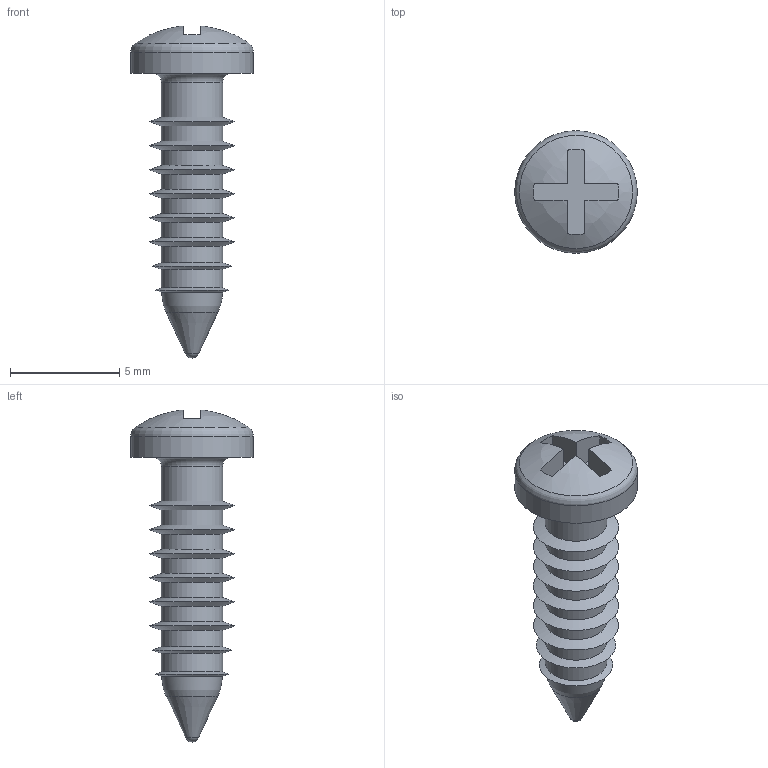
import cadquery as cq
import math

head_radius = 2.8
head_height = 2.2
dome_radius = 4.5
rim_fillet = 0.5

shank_radius = 1.4
shank_length = 13.0
neck_fillet = 0.4
point_half_angle = math.radians(25)
point_blend_radius = 2.3
tip_radius = 0.33

thread_count = 8
thread_pitch = 1.1
first_thread_depth = 2 * thread_pitch
crest_radius = 1.95
flank_angle = math.radians(20)
tapered_thread_count = 2
crest_taper_step = 0.135

recess_radius = 1.95
recess_width = 0.78
recess_depth = 1.5


def polar(center, radius, angle):
    """Point (r, z) on a circle, with the angle measured from the +r direction."""
    return (
        center[0] + radius * math.cos(angle),
        center[1] + radius * math.sin(angle),
    )


def screw_blank():
    """Head, shank and point revolved from one half profile."""
    dome_center = (0, head_height - dome_radius)
    rim_r = head_radius - rim_fillet
    rim_angle = math.acos(rim_r / (dome_radius - rim_fillet))
    rim_center = polar(dome_center, dome_radius - rim_fillet, rim_angle)
    dome_edge = polar(dome_center, dome_radius, rim_angle)
    dome_middle = polar(dome_center, dome_radius, (rim_angle + math.pi / 2) / 2)
    rim_middle = polar(rim_center, rim_fillet, rim_angle / 2)

    neck_center = (shank_radius + neck_fillet, -neck_fillet)
    neck_middle = polar(neck_center, neck_fillet, math.radians(135))

    tip_center = (0, tip_radius - shank_length)
    cone_end = polar(tip_center, tip_radius, -point_half_angle)
    tip_middle = polar(tip_center, tip_radius, -(point_half_angle + math.pi / 2) / 2)
    blend_r = shank_radius - point_blend_radius
    cone_start_r = blend_r + point_blend_radius * math.cos(point_half_angle)
    cone_start_z = cone_end[1] + (cone_start_r - cone_end[0]) / math.tan(point_half_angle)
    blend_center = (blend_r, cone_start_z + point_blend_radius * math.sin(point_half_angle))
    blend_middle = polar(blend_center, point_blend_radius, -point_half_angle / 2)

    profile = (
        cq.Workplane("XZ")
        .moveTo(0, head_height)
        .threePointArc(dome_middle, dome_edge)
        .threePointArc(rim_middle, (head_radius, rim_center[1]))
        .lineTo(head_radius, 0)
        .lineTo(neck_center[0], 0)
        .threePointArc(neck_middle, (shank_radius, -neck_fillet))
        .lineTo(shank_radius, blend_center[1])
        .threePointArc(blend_middle, (cone_start_r, cone_start_z))
        .lineTo(*cone_end)
        .threePointArc(tip_middle, (0, -shank_length))
        .close()
    )
    return profile.revolve(360, (0, 0, 0), (0, 1, 0))


def thread_ring(crest, z):
    """Sharp ring ridge around the shank, running inward to the screw axis."""
    half_width = (crest - shank_radius) * math.tan(flank_angle)
    profile = (
        cq.Workplane("XZ")
        .moveTo(0, z - half_width)
        .lineTo(shank_radius, z - half_width)
        .lineTo(crest, z)
        .lineTo(shank_radius, z + half_width)
        .lineTo(0, z + half_width)
        .close()
    )
    return profile.revolve(360, (0, 0, 0), (0, 1, 0))


def cross_recess():
    """Two crossed flat-bottomed slots whose ends lie on one cylinder."""
    floor = cq.Workplane("XY").workplane(offset=head_height - recess_depth)
    slot_length = 2 * recess_radius
    slot_x = floor.rect(slot_length, recess_width).extrude(recess_depth)
    slot_y = floor.rect(recess_width, slot_length).extrude(recess_depth)
    end_cylinder = floor.circle(recess_radius).extrude(recess_depth)
    return slot_x.union(slot_y).intersect(end_cylinder)


result = screw_blank()
for index in range(thread_count):
    taper_steps = max(0, index + 1 + tapered_thread_count - thread_count)
    ring_crest = crest_radius - taper_steps * crest_taper_step
    ring_z = -(first_thread_depth + index * thread_pitch)
    result = result.union(thread_ring(ring_crest, ring_z))
result = result.cut(cross_recess())